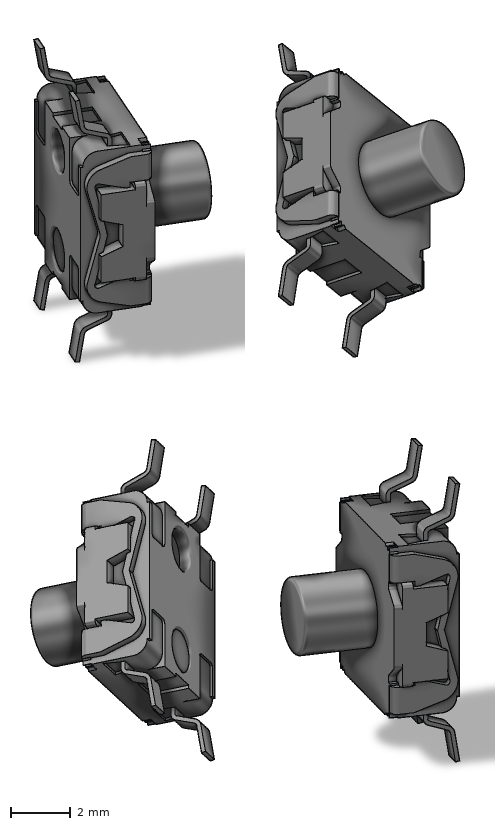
import cadquery as cq
import math


HOUSING_WIDTH = 5.18
HOUSING_LENGTH = 6.2
HOUSING_TOP = 2.2
HALF_WIDTH = HOUSING_WIDTH / 2
HALF_LENGTH = HOUSING_LENGTH / 2

CORNER_INNER_X = 1.39
CORNER_FLOOR = 0.09
CORNER_ROUND = 0.53
CORNER_POCKET_INNER_Z = 1.36
CORNER_POCKET_OUTER_X = 2.41
CORNER_POCKET_RADIUS = 0.15

MARK_DIAMETER = 1.5
MARK_EDGE_RADIUS = 0.1
MARK_Z = 1.9
UPPER_MARK_DEPTH = 0.45
LOWER_MARK_DEPTH = MARK_EDGE_RADIUS

END_RECESS_WIDTH = 1.02
END_RECESS_TOP = 1.41
END_RECESS_DEPTH = 0.12

LEAD_X = 1.985
LEAD_WIDTH = 0.71
LEAD_THICKNESS = 0.155
LEAD_SPAN = 10.05
LEAD_TOP = 1.2
LEAD_DROP = 0.1
LEAD_SHOULDER_Z = 3.47
LEAD_KNEE_Z = 3.82
LEAD_FOOT_ANGLE = 9.5
LEAD_SHOULDER_RADIUS = 0.18
LEAD_KNEE_RADIUS = 0.27
LEAD_RECESS_WIDTH = 0.98
LEAD_RECESS_TOP = 1.8
LEAD_RECESS_DEPTH = 0.1

BUTTON_DIAMETER = 2.7
BUTTON_TOP = 5.1
BUTTON_EDGE_RADIUS = 0.14

COVER_TOP = 2.5
COVER_HALF_WIDTH = 2.655
TONGUE_HALF_WIDTH = 3.1
TONGUE_FLAT_Z = 0.99
NECK_INNER_Z = 1.69
NECK_OUTER_Z = 1.81
TONGUE_SLOPE_ANGLE = 53
TONGUE_BEND_RADIUS = 0.225

TOOTH_VALLEY_SAG = 0.03
TEETH_START = (2.135, HALF_LENGTH)
INNER_VALLEY = ((2.2, 3.04), (2.31, 3.04))
TOOTH_TOP = ((2.31, 3.05), (2.4, 3.05))
OUTER_VALLEY = ((2.4, 2.97), (2.5, 2.97))
OUTER_TOOTH = ((2.56, 3.07), (2.59, 3.07), (2.59, 2.92))
TEETH_END_Z = 2.87

FLAP_HALF_LENGTH = 1.69
FLAP_BOTTOM = 0.58
EAR_HALF_LENGTH = 1.88
EAR_BOTTOM = 1.81
EAR_RADIUS = 0.19
NOTCH_MOUTH_HALF = 0.69
NOTCH_ROOT_HALF = 0.42
NOTCH_ROOT_Y = 1.35

CLIP_OUTER_X = 2.88
CLIP_TOP = 2.515
CLIP_TOP_RADIUS = 0.27
CLIP_HALF_LENGTH = 2.86
CLIP_LEG_Y = 1.71
CLIP_FOOT_Y = 0.0
CLIP_FOOT_Z = 2.35
CLIP_FOOT_RADIUS = 0.68
CLIP_CREST_Y = 0.63
CLIP_CREST_RADIUS = 0.45
WINDOW_TOP_Y = 1.49
WINDOW_TOP_Z = 1.7
WINDOW_FOOT_Y = 0.38
WINDOW_FOOT_Z = 2.06
WINDOW_FOOT_RADIUS = 0.12
WINDOW_CREST_Y = 0.88
SLOT_BOTTOM = 1.68

SIDES = (-1, 1)


def block(x0, x1, y0, y1, z0, z1):
    """Box between two opposite corners, given in any order."""
    size = (abs(x1 - x0), abs(y1 - y0), abs(z1 - z0))
    center = ((x0 + x1) / 2, (y0 + y1) / 2, (z0 + z1) / 2)
    return cq.Workplane("XY").box(*size).translate(center)


def symmetric(points):
    """Outline from the half with positive second coordinate, listed from one end to the other."""
    mirrored = [(a, -b, radius) for a, b, radius in reversed(points) if b != 0]
    return points + mirrored


def rounded_outline(plane, corners):
    """Closed outline through (a, b, radius) corners, each rounded by its own radius."""
    points = [cq.Vector(a, b) for a, b, _ in corners]
    rounds = []
    for i, (_, _, radius) in enumerate(corners):
        corner = points[i]
        to_last = (points[i - 1] - corner).normalized()
        to_next = (points[(i + 1) % len(points)] - corner).normalized()
        half_angle = to_last.getAngle(to_next) / 2
        if radius == 0:
            rounds.append((corner, corner, corner))
            continue
        reach = radius / math.tan(half_angle)
        bulge = radius / math.sin(half_angle) - radius
        middle = corner + (to_last + to_next).normalized() * bulge
        rounds.append((corner + to_last * reach, middle, corner + to_next * reach))
    outline = cq.Workplane(plane).moveTo(*rounds[0][2].toTuple()[:2])
    for start, middle, end in rounds[1:] + rounds[:1]:
        outline = outline.lineTo(start.x, start.y)
        if start is not end:
            outline = outline.threePointArc((middle.x, middle.y), (end.x, end.y))
    return outline.close() if rounds[0][0] is rounds[0][2] else outline.wire()


def slab_across_x(outline, side, inner_x, outer_x):
    """Solid with a (y, z) outline between two distances from the plane x = 0."""
    return outline.extrude(side * (outer_x - inner_x)).translate((side * inner_x, 0, 0))


def corner_relief(side, end):
    """Material taken off one corner of the mounting face: a rounded end and a pocket beside it."""
    round_z = HALF_LENGTH - CORNER_ROUND
    round_y = CORNER_FLOOR + CORNER_ROUND
    square = block(side * CORNER_INNER_X, side * HALF_WIDTH, 0, round_y, end * round_z, end * HALF_LENGTH)
    kept = cq.Workplane("YZ").center(round_y, end * round_z).circle(CORNER_ROUND)
    kept = kept.extrude(side * HALF_WIDTH)
    pocket = block(
        side * CORNER_INNER_X,
        side * CORNER_POCKET_OUTER_X,
        0,
        CORNER_FLOOR,
        end * CORNER_POCKET_INNER_Z,
        end * round_z,
    )
    inner_face = "<Z" if end > 0 else ">Z"
    pocket = pocket.faces(inner_face).edges("|Y").fillet(CORNER_POCKET_RADIUS)
    return square.cut(kept).union(pocket)


def moulding_mark(z, depth):
    """Round blind recess in the mounting face with a rounded rim."""
    radius = MARK_DIAMETER / 2
    rim = radius + MARK_EDGE_RADIUS
    slant = MARK_EDGE_RADIUS * (1 - math.sqrt(0.5))
    profile = cq.Workplane("XY").lineTo(rim, 0)
    profile = profile.threePointArc((radius + slant, slant), (radius, MARK_EDGE_RADIUS))
    if depth > MARK_EDGE_RADIUS:
        profile = profile.lineTo(radius, depth)
    profile = profile.lineTo(0, depth).close()
    return profile.revolve(360, (0, 0, 0), (0, 1, 0)).translate((0, 0, z))


def lead_recess(side, end):
    """Tapered recess in an end of the housing, narrowing down to the lead."""
    half_top = LEAD_RECESS_WIDTH / 2
    half_lead = LEAD_WIDTH / 2
    lead_bottom = LEAD_TOP - LEAD_THICKNESS
    outline = [
        (-half_top, LEAD_RECESS_TOP),
        (half_top, LEAD_RECESS_TOP),
        (half_lead, LEAD_TOP),
        (half_lead, lead_bottom),
        (-half_lead, lead_bottom),
        (-half_lead, LEAD_TOP),
    ]
    recess = cq.Workplane("XY").polyline(outline).close().extrude(end * LEAD_RECESS_DEPTH)
    return recess.translate((side * LEAD_X, 0, end * (HALF_LENGTH - LEAD_RECESS_DEPTH)))


def make_housing():
    housing = block(-HALF_WIDTH, HALF_WIDTH, 0, HOUSING_TOP, -HALF_LENGTH, HALF_LENGTH)
    housing = housing.cut(moulding_mark(MARK_Z, UPPER_MARK_DEPTH))
    housing = housing.cut(moulding_mark(-MARK_Z, LOWER_MARK_DEPTH))
    half_recess = END_RECESS_WIDTH / 2
    for end in SIDES:
        recess_floor = end * (HALF_LENGTH - END_RECESS_DEPTH)
        end_recess = block(-half_recess, half_recess, 0, END_RECESS_TOP, recess_floor, end * HALF_LENGTH)
        housing = housing.cut(end_recess)
        for side in SIDES:
            housing = housing.cut(corner_relief(side, end)).cut(lead_recess(side, end))
    return housing


def make_lead(side, end):
    """Bent strip: out of the housing, down a slope, then along the foot."""
    half = LEAD_THICKNESS / 2
    foot = math.radians(LEAD_FOOT_ANGLE)
    middle_y = LEAD_TOP - half
    root_z = HALF_LENGTH - LEAD_RECESS_DEPTH
    tip_y = half * math.cos(foot) - LEAD_DROP
    tip_z = LEAD_SPAN / 2 - half * math.sin(foot)
    knee_y = tip_y + (tip_z - LEAD_KNEE_Z) * math.tan(foot)
    slope = math.atan2(LEAD_KNEE_Z - LEAD_SHOULDER_Z, middle_y - knee_y)
    shoulder_turn = math.pi / 2 - slope
    knee_turn = shoulder_turn - foot
    shoulder_shift = half * math.tan(shoulder_turn / 2)
    bisector = foot + knee_turn / 2
    knee_reach = half / math.cos(knee_turn / 2)
    knee_shift_y = knee_reach * math.cos(bisector)
    knee_shift_z = knee_reach * math.sin(bisector)
    outline = [
        (middle_y + half, root_z, 0),
        (middle_y + half, LEAD_SHOULDER_Z + shoulder_shift, LEAD_SHOULDER_RADIUS + half),
        (knee_y + knee_shift_y, LEAD_KNEE_Z + knee_shift_z, LEAD_KNEE_RADIUS - half),
        (tip_y + half * math.cos(foot), tip_z + half * math.sin(foot), 0),
        (tip_y - half * math.cos(foot), tip_z - half * math.sin(foot), 0),
        (knee_y - knee_shift_y, LEAD_KNEE_Z - knee_shift_z, LEAD_KNEE_RADIUS + half),
        (middle_y - half, LEAD_SHOULDER_Z - shoulder_shift, LEAD_SHOULDER_RADIUS - half),
        (middle_y - half, root_z, 0),
    ]
    lead = rounded_outline("YZ", outline).extrude(LEAD_WIDTH / 2, both=True)
    lead = lead.translate((side * LEAD_X, 0, 0))
    return lead if end > 0 else lead.mirror("XY")


def make_button():
    height = BUTTON_TOP - HOUSING_TOP
    button = cq.Workplane("XZ", origin=(0, HOUSING_TOP, 0)).circle(BUTTON_DIAMETER / 2).extrude(-height)
    return button.faces(">Y").edges().fillet(BUTTON_EDGE_RADIUS)


def cover_corner(side, end, neck_x):
    """Outline of a quarter of the cover plate: teeth at the corner, then in to the neck of the tongue."""

    def at(point):
        return (side * point[0], end * point[1])

    def sagged_middle(valley):
        (x0, z0), (x1, z1) = valley
        return at(((x0 + x1) / 2, (z0 + z1) / 2 - TOOTH_VALLEY_SAG))

    quarter = cq.Workplane("XY").lineTo(*at((0, HALF_LENGTH))).lineTo(*at(TEETH_START))
    quarter = quarter.lineTo(*at(INNER_VALLEY[0]))
    quarter = quarter.threePointArc(sagged_middle(INNER_VALLEY), at(INNER_VALLEY[1]))
    quarter = quarter.lineTo(*at(TOOTH_TOP[0])).lineTo(*at(TOOTH_TOP[1])).lineTo(*at(OUTER_VALLEY[0]))
    quarter = quarter.threePointArc(sagged_middle(OUTER_VALLEY), at(OUTER_VALLEY[1]))
    for point in OUTER_TOOTH:
        quarter = quarter.lineTo(*at(point))
    quarter = quarter.lineTo(*at((COVER_HALF_WIDTH, TEETH_END_Z)))
    quarter = quarter.lineTo(*at((COVER_HALF_WIDTH, NECK_OUTER_Z)))
    return quarter.lineTo(*at((neck_x, NECK_OUTER_Z))).lineTo(*at((neck_x, 0))).close()


def tongue_neck_x():
    """Half width of the cover at the neck, where the tongue starts to sweep out."""
    turn = math.radians(TONGUE_SLOPE_ANGLE)
    return TONGUE_HALF_WIDTH - (NECK_INNER_Z - TONGUE_FLAT_Z - 2 * tongue_bend_reach()) * math.tan(turn)


def tongue_bend_reach():
    """Distance from a corner of the tongue to where its rounding starts."""
    return TONGUE_BEND_RADIUS * math.tan(math.radians(TONGUE_SLOPE_ANGLE) / 2)


def make_cover():
    thickness = COVER_TOP - HOUSING_TOP
    neck_x = tongue_neck_x()
    half_tongue = [
        (neck_x, NECK_OUTER_Z, 0),
        (neck_x, NECK_INNER_Z - tongue_bend_reach(), TONGUE_BEND_RADIUS),
        (TONGUE_HALF_WIDTH, TONGUE_FLAT_Z + tongue_bend_reach(), TONGUE_BEND_RADIUS),
    ]
    tongue = rounded_outline("XY", symmetric(half_tongue)).extrude(thickness)
    cover = tongue.union(tongue.mirror("YZ"))
    for side in SIDES:
        for end in SIDES:
            cover = cover.union(cover_corner(side, end, neck_x).extrude(thickness))
    return cover.rotate((0, 0, 0), (1, 0, 0), 90).translate((0, COVER_TOP, 0))


def make_flap(side):
    """Plate hanging from the tongue, with ears at its top and a tapered notch at its bottom."""
    half_flap = [
        (HOUSING_TOP, FLAP_HALF_LENGTH, 0),
        (FLAP_BOTTOM, FLAP_HALF_LENGTH, 0),
        (FLAP_BOTTOM, NOTCH_MOUTH_HALF, 0),
        (NOTCH_ROOT_Y, NOTCH_ROOT_HALF, 0),
    ]
    flap = slab_across_x(rounded_outline("YZ", symmetric(half_flap)), side, HALF_WIDTH, TONGUE_HALF_WIDTH)
    ears = block(
        side * HALF_WIDTH,
        side * TONGUE_HALF_WIDTH,
        EAR_BOTTOM,
        HOUSING_TOP,
        -EAR_HALF_LENGTH,
        EAR_HALF_LENGTH,
    )
    outer_face = ">X" if side > 0 else "<X"
    return flap.union(ears.faces(outer_face).edges("|Y").fillet(EAR_RADIUS))


def make_clip(side):
    """M-shaped spring plate with a window that follows its outline."""
    crest_radius = CLIP_CREST_RADIUS if side > 0 else 0
    half_clip = [
        (CLIP_TOP, CLIP_HALF_LENGTH, 0),
        (CLIP_LEG_Y, CLIP_HALF_LENGTH, 0),
        (CLIP_FOOT_Y, CLIP_FOOT_Z, CLIP_FOOT_RADIUS),
        (CLIP_CREST_Y, 0, crest_radius),
    ]
    half_window = [
        (WINDOW_TOP_Y, WINDOW_TOP_Z, 0),
        (WINDOW_FOOT_Y, WINDOW_FOOT_Z, WINDOW_FOOT_RADIUS),
        (WINDOW_CREST_Y, 0, 0),
    ]
    clip = slab_across_x(rounded_outline("YZ", symmetric(half_clip)), side, HALF_WIDTH, CLIP_OUTER_X)
    outer_face = ">X" if side > 0 else "<X"
    clip = clip.faces(outer_face).edges(">Y").fillet(CLIP_TOP_RADIUS)
    window = slab_across_x(rounded_outline("YZ", symmetric(half_window)), side, HALF_WIDTH, CLIP_OUTER_X)
    slot = block(
        side * HALF_WIDTH, side * CLIP_OUTER_X, SLOT_BOTTOM, CLIP_TOP, -EAR_HALF_LENGTH, EAR_HALF_LENGTH
    )
    return clip.cut(window).cut(slot)


body = make_housing()
cover = make_cover().union(make_button())
for side in SIDES:
    body = body.union(make_clip(side)).union(make_flap(side))
    for end in SIDES:
        body = body.union(make_lead(side, end))
result = body.union(cover, clean=False)